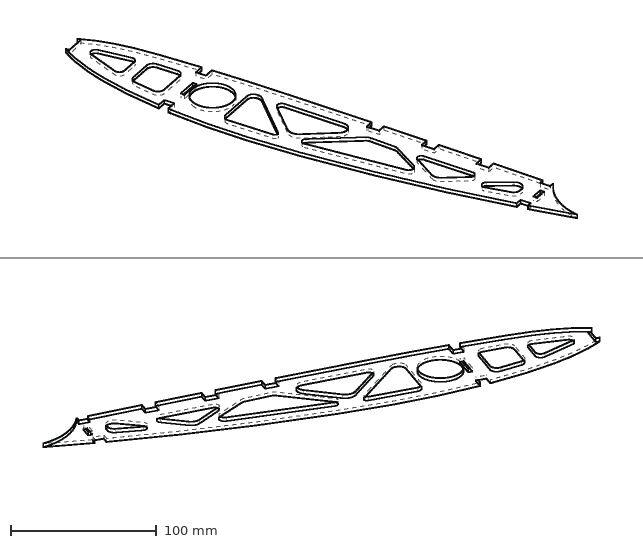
import cadquery as cq
import math

CHORD = 411.85
THICKNESS = 3.0

NOSE_TOP = (0.0, 18.2)
UPPER_SKIN = [(21.0, 25.0), (72.0, 29.9), (112.0, 31.05), (160.0, 30.8), (216.0, 29.8), (309.0, 27.4)]
UPPER_END = (377.2, 25.0)
NOSE_BOTTOM = (0.0, 3.1)
LOWER_SKIN = [(11.2, -3.7), (38.5, -14.9), (80.6, -24.7), (154.4, -30.97), (223.3, -28.4), (314.0, -18.6)]
TRAILING_EDGE = (CHORD, -0.6)

TAIL_ARC_MIDDLE = (389.5, 9.5)

NOSE_SLOT_DEPTH = THICKNESS

HOLE_DIAMETER = 32.0
HOLE_CENTER = (117.6, 3.0)

SLOT_WIDTH = THICKNESS
SLOTS = [
    (97.6, -6.0, 16.0),
    (373.8, 4.1, 9.2),
]

SPAR_WIDTH = 8.0
FRONT_SPAR_LEFT = 92.4
REAR_SPAR_LEFT = 368.7
STRINGER_WIDTH = 10.0

TOP_NOTCHES = [
    (FRONT_SPAR_LEFT, SPAR_WIDTH, 22.9),
    (229.0, STRINGER_WIDTH, 22.9),
    (273.7, STRINGER_WIDTH, 21.7),
    (318.3, STRINGER_WIDTH, 20.5),
    (REAR_SPAR_LEFT, SPAR_WIDTH, 21.7),
]
BOTTOM_NOTCHES = [
    (FRONT_SPAR_LEFT, SPAR_WIDTH, -19.2),
    (REAR_SPAR_LEFT, SPAR_WIDTH, -4.3),
]

OUTSIDE_SKIN = 40.0

WINDOWS = [
    [(5.5, 11.3, 3.8), (49.2, 16.9, 3.8), (49.2, -6.5, 4.0)],
    [(58.9, 18.2, 5.0), (85.3, 18.2, 5.0), (85.3, -13.6, 5.0), (58.9, -8.8, 5.0)],
    [(138.4, 19.5, 5.0), (146.5, 19.5, 5.0), (185.0, -19.0, 2.3), (138.4, -19.0, 5.0)],
    [(156.9, 19.2, 3.5), (233.6, 17.9, 6.5), (189.3, -13.1, 8.0)],
    [(192.3, -19.1, 3.0), (237.1, 11.7, 5.0), (260.3, 10.4, 5.0), (293.0, -10.2, 4.0)],
    [(272.0, 10.3, 3.0), (332.2, 9.3, 3.2), (303.3, -10.2, 7.0)],
    [(321.8, -6.5, 3.2), (361.9, 19.1, 6.0), (361.9, 2.0, 5.0)],
]


def rib_blank():
    """The airfoil plate with its nose slot and hollow tail, without any openings."""
    return (
        cq.Workplane("XY")
        .moveTo(*NOSE_TOP)
        .spline(UPPER_SKIN + [UPPER_END], includeCurrent=True)
        .threePointArc(TAIL_ARC_MIDDLE, TRAILING_EDGE)
        .spline(LOWER_SKIN[::-1] + [NOSE_BOTTOM], includeCurrent=True)
        .lineTo(NOSE_SLOT_DEPTH, NOSE_BOTTOM[1])
        .lineTo(NOSE_SLOT_DEPTH, NOSE_TOP[1])
        .close()
        .extrude(THICKNESS)
    )


def rounded_window(corners):
    """A through-cutter whose outline is a convex polygon with its own radius at each corner."""
    outline = cq.Workplane("XY")
    count = len(corners)
    for i, (x, y, radius) in enumerate(corners):
        corner = cq.Vector(x, y)
        to_previous = (cq.Vector(*corners[i - 1][:2]) - corner).normalized()
        to_next = (cq.Vector(*corners[(i + 1) % count][:2]) - corner).normalized()
        half_angle = to_previous.getAngle(to_next) / 2
        tangent_length = radius / math.tan(half_angle)
        arc_middle_distance = radius / math.sin(half_angle) - radius
        start = corner + to_previous * tangent_length
        middle = corner + (to_previous + to_next).normalized() * arc_middle_distance
        end = corner + to_next * tangent_length
        outline = outline.moveTo(start.x, start.y) if i == 0 else outline.lineTo(start.x, start.y)
        outline = outline.threePointArc((middle.x, middle.y), (end.x, end.y))
    return outline.close().extrude(THICKNESS)


def box_cutter(left, bottom, width, height):
    """A rectangular through-cutter placed by its lower left corner."""
    return cq.Workplane("XY").box(width, height, THICKNESS, centered=False).translate((left, bottom, 0))


result = rib_blank()
for window in WINDOWS:
    result = result.cut(rounded_window(window))

hole = cq.Workplane("XY").center(*HOLE_CENTER).circle(HOLE_DIAMETER / 2).extrude(THICKNESS)
result = result.cut(hole)

for left, bottom, height in SLOTS:
    result = result.cut(box_cutter(left, bottom, SLOT_WIDTH, height))
for left, width, floor in TOP_NOTCHES:
    result = result.cut(box_cutter(left, floor, width, OUTSIDE_SKIN - floor))
for left, width, floor in BOTTOM_NOTCHES:
    result = result.cut(box_cutter(left, -OUTSIDE_SKIN, width, floor + OUTSIDE_SKIN))